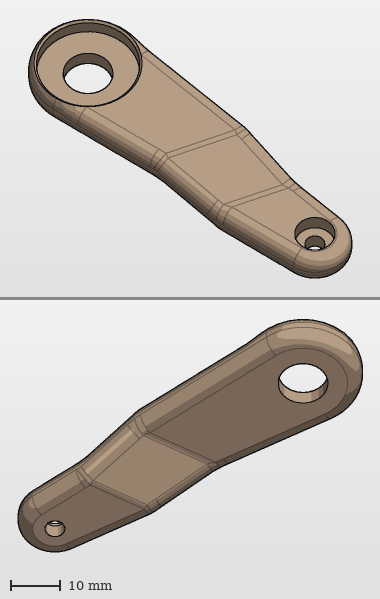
import cadquery as cq
import math

large_end_radius = 12.0
small_end_radius = 7.5
eye_spacing = 60.0
thickness = 7.0
step_drop = 5.2

step_start = 30.8
step_end = 45.2
bend_skew = 27.0
lower_bend_shift = 0.7
bend_radius = 2.95

edge_radius = 3.0

large_hole_radius = 5.0
large_recess_radius = 10.4
large_recess_depth = 3.5
large_recess_chamfer = 0.5
small_hole_radius = 2.0
small_recess_radius = 4.05
small_recess_depth = 3.5

bottom_z = -thickness - step_drop


def arm_outline():
    """Two end circles joined by their outer tangent lines, extruded over the full height."""
    lean = (large_end_radius - small_end_radius) / eye_spacing
    rise = math.sqrt(1 - lean**2)

    def tangent_point(center_x, radius, side):
        return (center_x + radius * lean, side * radius * rise)

    return (
        cq.Workplane("XY", origin=(0, 0, bottom_z))
        .moveTo(*tangent_point(0, large_end_radius, 1))
        .threePointArc((-large_end_radius, 0), tangent_point(0, large_end_radius, -1))
        .lineTo(*tangent_point(eye_spacing, small_end_radius, -1))
        .threePointArc(
            (eye_spacing + small_end_radius, 0),
            tangent_point(eye_spacing, small_end_radius, 1),
        )
        .close()
        .extrude(-bottom_z)
    )


def stepped_plate():
    """Plate with a skewed step, its side profile swept along the bend direction."""
    skew = math.radians(bend_skew)
    reach = 2 * eye_spacing
    start = step_start * math.cos(skew)
    end = step_end * math.cos(skew)
    shift = lower_bend_shift * math.cos(skew)
    profile_plane = cq.Plane(
        origin=(0, 0, 0),
        xDir=(math.cos(skew), -math.sin(skew), 0),
        normal=(-math.sin(skew), -math.cos(skew), 0),
    )
    plate = (
        cq.Workplane(profile_plane)
        .polyline([
            (-reach, 0),
            (start, 0),
            (end, -step_drop),
            (reach, -step_drop),
            (reach, bottom_z),
            (end - shift, bottom_z),
            (start - shift, -thickness),
            (-reach, -thickness),
        ])
        .close()
        .extrude(reach, both=True)
    )
    bend_edges = cq.selectors.BoxSelector(
        (0, -eye_spacing, 2 * bottom_z), (eye_spacing, eye_spacing, thickness)
    )
    return plate.edges(bend_edges).fillet(bend_radius)


def bore(center_x, top_z, radius, depth):
    """Vertical cylinder reaching down from top_z."""
    return cq.Workplane("XY", origin=(center_x, 0, top_z)).circle(radius).extrude(-depth)


body = arm_outline().intersect(stepped_plate())

body = body.cut(bore(0, 0, large_recess_radius, large_recess_depth))
recess_rim = cq.selectors.RadiusNthSelector(0)
body = body.faces(">Z").edges(recess_rim).chamfer(large_recess_chamfer)
body = body.faces("<X").edges("not |Z").fillet(edge_radius)

body = body.cut(bore(0, 0, large_hole_radius, thickness))
body = body.cut(bore(eye_spacing, -step_drop, small_recess_radius, small_recess_depth))
result = body.cut(bore(eye_spacing, -step_drop, small_hole_radius, thickness))